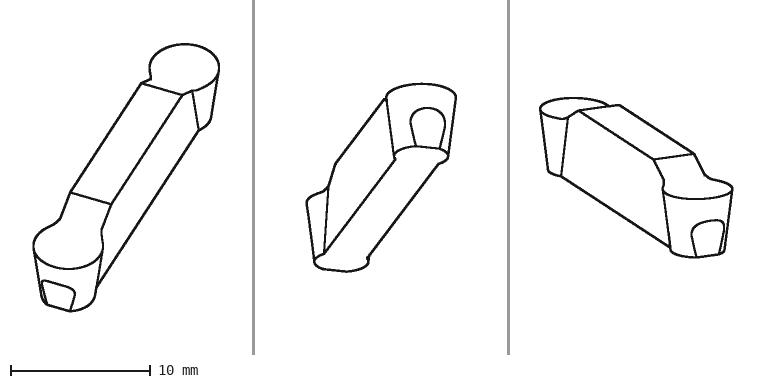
import cadquery as cq
import math

length = 25.9
height = 5.8
body_width = 3.2

head_diameter = 5.0
rim_height = 4.53
tip_rise = 0.05
relief_angle = 7.0
flank_angle = 30.0

ramp_angle = 30.0
ramp_top_inset = 6.55
ramp_blend_radius = 0.73

flat_offset = 1.74
flat_height = 1.63
relief_radius = 1.55
relief_top = 2.82

rim_radius = head_diameter / 2
relief_slope = math.tan(math.radians(relief_angle))
tip_height = rim_height + tip_rise
tip_radius = rim_radius + tip_rise * relief_slope
half_length = length / 2
head_center = half_length - tip_radius
foot_radius = rim_radius - rim_height * relief_slope
wall_top_radius = rim_radius + (height - rim_height) * relief_slope


def teardrop(radius, z):
    """Circle with two tangent flanks that meet in a point on its -Y side."""
    flank = math.radians(flank_angle)
    tangent_x = radius * math.cos(flank)
    tangent_y = -radius * math.sin(flank)
    point_y = -radius / math.sin(flank)
    return (
        cq.Workplane("XY", origin=(0, head_center, z))
        .moveTo(0, point_y)
        .lineTo(tangent_x, tangent_y)
        .threePointArc((0, radius), (-tangent_x, tangent_y))
        .close()
        .wires()
        .val()
    )


def make_head():
    """Tapered head at the +Y end, as tall as the body."""
    foot = teardrop(foot_radius, 0)
    top = teardrop(wall_top_radius, height)
    return cq.Workplane(cq.Solid.makeLoft([foot, top], True))


def make_side_profile():
    """Side outline of the +Y half, extruded across the whole width."""
    ramp = math.radians(ramp_angle)
    ramp_top = half_length - ramp_top_inset
    ramp_foot = ramp_top + (height - rim_height) / math.tan(ramp)
    blend = ramp_blend_radius * math.tan(ramp / 2)
    blend_start = (ramp_foot - blend * math.cos(ramp), rim_height + blend * math.sin(ramp))
    blend_end = (ramp_foot + blend, rim_height)
    blend_middle = (
        blend_end[0] - ramp_blend_radius * math.sin(ramp / 2),
        rim_height + ramp_blend_radius * (1 - math.cos(ramp / 2)),
    )
    relief_end = relief_top - flat_height
    relief_depth = relief_radius - math.sqrt(relief_radius**2 - relief_end**2)
    flat_y = head_center + flat_offset
    return (
        cq.Workplane("YZ")
        .moveTo(0, 0)
        .lineTo(0, height)
        .lineTo(ramp_top, height)
        .lineTo(*blend_start)
        .threePointArc(blend_middle, blend_end)
        .lineTo(head_center, rim_height)
        .tangentArcPoint((half_length, tip_height), relative=False)
        .lineTo(half_length, relief_top)
        .lineTo(flat_y + relief_depth, relief_top)
        .radiusArc((flat_y, flat_height), -relief_radius)
        .lineTo(flat_y, 0)
        .close()
        .extrude(head_diameter, both=True)
    )


body = cq.Workplane("XY").box(body_width, head_center, height, centered=(True, False, False))
half = body.union(make_head()).intersect(make_side_profile())

result = half.union(half.mirror("XZ"))